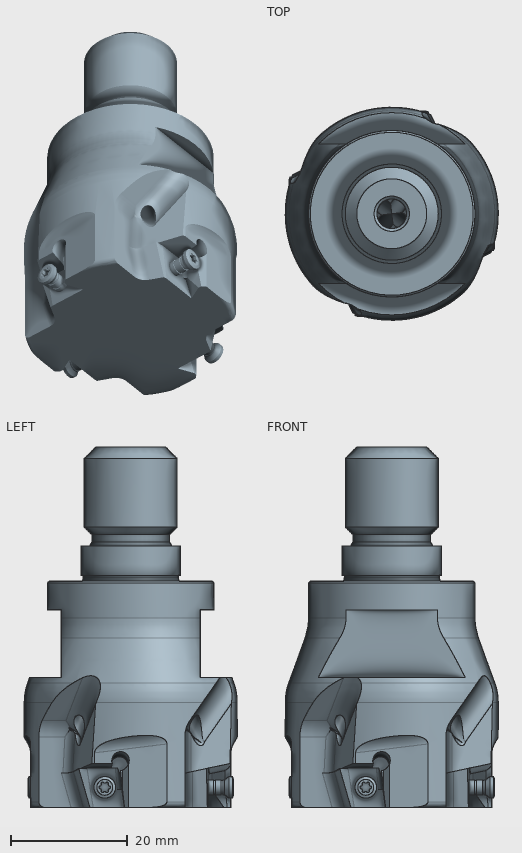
import cadquery as cq
import math


station_count = 4
reach = 37.1

total_height = 61.8
thread_radius = 8.0
thread_bottom = 48.1
tip_chamfer = 2.0
relief_radius = 6.7
relief_bottom = 45.5
relief_flare = 0.4
guide_radius = 8.5
guide_bottom = 39.8
guide_top = 44.85
undercut_radius = 8.15
undercut_flare = 0.1
undercut_flare_start = 39.4

collar_radius = 14.3
collar_top = 38.8
collar_chamfer = 0.3
collar_bottom = 32.5
cone_top = 29.05
cone_top_radius = 14.9
cone_bottom = 21.4
cone_bottom_radius = 17.7
belly_top = 18.05
belly_diameter = 36.5
belly_radius = belly_diameter / 2
end_fillet = 0.9

flat_offset = 11.9
flat_top = 33.85
flat_bottom = 22.3

bore_radius = 2.55
bore_chamfer = 0.5
bore_bottom = 32.75
branch_radius = 1.3
branch_start = cq.Vector(0, 0, 35.2)
branch_exit = cq.Vector(-9.4, -11.85, 12.5)
branch_run_out = 4.95

gullet_offset = 9.3
gullet_fillet = 1.85
ramp_start_height = 13.65
ramp_angle = 35.0
ramp_bend_radius = 4.95
ramp_groove_radius = 3.1
ramp_groove_shift = 1.5
wall_root = -10.75
wall_angle = 25.5
wall_lean = 3.0
lower_wall_root = -8.7
lower_wall_angle = 24.0
lower_wall_lean = -15.5
lower_fillet = 2.2

seat_offset = 13.2
seat_right = -1.25
seat_wall_angle = 3.0
seat_wall_lean = -6.0
seat_fillet = 0.75
seat_bevel_offset = 16.2
seat_bevel_right = -1.4
seat_bevel_angle = 46.0
seat_ceiling = 6.75
seat_ceiling_angle = 12.0
toe_height = 3.1
toe_reach = 3.0
toe_width = 1.55
corner_relief_rise = 0.5
corner_relief_radius = 1.5
facet_root = -6.4
facet_angle = 10.0
facet_lean = -9.0

land_offset = 17.2
land_top = 10.15
land_tilt = 7.0
land_run_out_radius = 2.5

screw_x = -4.45
screw_z = 3.45
screw_tip = 8.65
screw_radius = 1.3
neck_radius = 1.2
necks = [(14.15, 14.5), (15.5, 15.8)]
head_cone_start = 16.05
head_cone_end = 16.8
head_radius = 1.85
head_rim_end = 17.4
head_end = 17.6
head_top_radius = 1.35
socket_depth = 0.85
socket_core_radius = 0.75
lobe_radius = 0.25
lobe_count = 6


def tan(degrees):
    return math.tan(math.radians(degrees))


def square_to(vector, axis):
    """Unit vector along the part of `vector` that is square to `axis`."""
    unit = axis.normalized()
    return (vector - unit * vector.dot(unit)).normalized()


def corner_wedge(corner, along, leg_a, leg_b):
    """Long prism filling the corner between two planes that share the line `along`."""
    axis = along.normalized()
    first = square_to(leg_a, axis)
    second = square_to(leg_b, axis)
    normal_side = axis.cross(first)
    first_point = (reach, 0)
    second_point = (second.dot(first) * reach, second.dot(normal_side) * reach)
    far_point = (first_point[0] + second_point[0], first_point[1] + second_point[1])
    return (
        cq.Workplane(cq.Plane(corner, first, axis))
        .polyline([(0, 0), first_point, far_point, second_point])
        .close()
        .extrude(reach, both=True)
    )


def corner_prism(corner, along, leg_a, leg_b, radius):
    """Corner wedge with its corner rounded."""
    prism = corner_wedge(corner, along, leg_a, leg_b)
    return prism.edges(cq.selectors.NearestToPointSelector(corner)).fillet(radius)


def around_axis(shape):
    """Copies of a -Y side shape, one per station."""
    return [shape.rotate((0, 0, 0), (0, 0, 1), i * 360 / station_count) for i in range(station_count)]


left = cq.Vector(-1, 0, 0)
down = cq.Vector(0, 0, -1)
up = cq.Vector(0, 0, 1)


def turned_blank():
    return (
        cq.Workplane("XZ")
        .moveTo(0, 0)
        .lineTo(0, total_height)
        .lineTo(thread_radius - tip_chamfer, total_height)
        .lineTo(thread_radius, total_height - tip_chamfer)
        .lineTo(thread_radius, thread_bottom)
        .lineTo(relief_radius, thread_bottom - (thread_radius - relief_radius))
        .lineTo(relief_radius, relief_bottom)
        .lineTo(relief_radius + relief_flare, guide_top)
        .lineTo(guide_radius, guide_top)
        .lineTo(guide_radius, guide_bottom)
        .lineTo(undercut_radius, guide_bottom)
        .lineTo(undercut_radius, undercut_flare_start)
        .lineTo(undercut_radius + undercut_flare, collar_top)
        .lineTo(collar_radius - collar_chamfer, collar_top)
        .lineTo(collar_radius, collar_top - collar_chamfer)
        .lineTo(collar_radius, collar_bottom)
        .tangentArcPoint((cone_top_radius, cone_top), relative=False)
        .lineTo(cone_bottom_radius, cone_bottom)
        .tangentArcPoint((belly_radius, belly_top), relative=False)
        .lineTo(belly_radius, end_fillet)
        .radiusArc((belly_radius - end_fillet, 0), end_fillet)
        .close()
        .revolve(360, (0, 0, 0), (0, 1, 0))
    )


def wrench_flats():
    slab = cq.Workplane("XY").box(2 * reach, reach, flat_top - flat_bottom, centered=(True, False, False))
    slab = slab.translate((0, flat_offset, flat_bottom))
    return slab.union(slab.mirror("XZ"))


def coolant_bore():
    depth = total_height - bore_bottom
    bore = cq.Workplane("XY", origin=(0, 0, bore_bottom)).circle(bore_radius).extrude(depth)
    countersink = cq.Solid.makeCone(
        bore_radius, bore_radius + bore_chamfer, bore_chamfer, cq.Vector(0, 0, total_height - bore_chamfer)
    )
    return bore.union(cq.Workplane(countersink))


def coolant_branch():
    run = branch_exit - branch_start
    length = run.Length + branch_run_out
    return cq.Workplane(cq.Solid.makeCylinder(branch_radius, length, branch_start, run))


def wall_direction(angle):
    """Horizontal direction that leaves the cutter outward, turned by `angle` toward +X."""
    return cq.Vector(tan(angle), -1, 0)


def leaning_axis(lean):
    """Upward direction that leans by `lean` toward +X."""
    return cq.Vector(tan(lean), 0, 1)


def flute():
    """Gullet with a ramp that runs out upward; its wall and ramp meet in a round groove."""
    wall = wall_direction(wall_angle)
    wall_axis = leaning_axis(wall_lean)
    ramp = cq.Vector(0, -math.sin(math.radians(ramp_angle)), math.cos(math.radians(ramp_angle)))
    ramp_x = tan(wall_angle) * -ramp.y + tan(wall_lean) * ramp.z
    ramp_axis = cq.Vector(ramp_x, ramp.y, ramp.z)
    root = cq.Vector(wall_root, -gullet_offset, 0)
    bend = root + wall_axis * ramp_start_height
    gullet = corner_prism(root, wall_axis, left, wall, gullet_fillet)
    ramped_floor = corner_prism(bend, left, down, ramp, ramp_bend_radius)
    ramp_normal = cq.Vector(0, -ramp.z, ramp.y)
    across = square_to(left, ramp_axis)
    wall_rise = square_to(wall, ramp_axis)
    corner_fillet = ramp_groove_shift * math.tan(across.getAngle(wall_rise) / 2)
    ramped_wall = corner_prism(bend, ramp_axis, left, wall, corner_fillet)
    groove_center = bend + across * ramp_groove_shift + ramp_normal * ramp_groove_radius
    groove = cq.Workplane(cq.Solid.makeCylinder(ramp_groove_radius, reach, groove_center, ramp_axis))
    return gullet.intersect(ramped_wall).union(groove).intersect(ramped_floor).cut(seat_space())


def lower_flute():
    """Undercut of the flute wall below the insert."""
    root = cq.Vector(lower_wall_root, -gullet_offset, 0)
    wall = wall_direction(lower_wall_angle)
    undercut = corner_prism(root, leaning_axis(lower_wall_lean), left, wall, lower_fillet)
    return undercut.intersect(seat_space())


def seat_space():
    """Everything outward of and below the seat ceiling, which rises outward."""
    edge = cq.Vector(0, -seat_offset, seat_ceiling)
    ceiling = cq.Vector(0, -1, tan(seat_ceiling_angle))
    plane = cq.Plane(edge, left, left.cross(ceiling))
    return cq.Workplane(plane).rect(2 * reach, 2 * reach).extrude(-reach)


def insert_seat():
    right_root = cq.Vector(seat_right, -seat_offset, 0)
    wall = wall_direction(seat_wall_angle)
    seat = corner_prism(right_root, leaning_axis(seat_wall_lean), left, wall, seat_fillet)
    facet_edge = cq.Vector(facet_root, -seat_offset, 0)
    facet_run = cq.Vector(-1, tan(facet_angle), 0)
    facet_axis = leaning_axis(facet_lean)
    plane = cq.Plane(facet_edge, facet_run, facet_axis)
    facet = cq.Workplane(plane).rect(reach, reach, centered=False).extrude(reach, both=True)
    bevel_root = cq.Vector(seat_bevel_right, -seat_bevel_offset, 0)
    bevel = corner_wedge(bevel_root, up, left, wall_direction(seat_bevel_angle))
    return seat.union(facet).union(bevel).intersect(seat_space())


def seat_toe():
    """Bevel across the bottom corner where the seat floor, its right wall and the end face meet."""
    corner = cq.Vector(seat_right, -seat_offset, 0)
    normal = cq.Vector(1 / toe_width, -1 / toe_reach, 1 / toe_height)
    plane = cq.Plane(corner + cq.Vector(toe_width, 0, 0), cq.Vector(0, -toe_reach, -toe_height), normal)
    below = cq.Workplane(plane).rect(2 * reach, 2 * reach).extrude(-reach)
    bounds = cq.Workplane("XY").box(toe_width * 2, toe_reach, toe_height, centered=(True, False, False))
    return below.intersect(bounds.translate((seat_right, -seat_offset - toe_reach, 0)))


def corner_relief():
    corner_x = seat_right + tan(seat_wall_lean) * seat_ceiling
    start = cq.Vector(corner_x, -seat_offset, seat_ceiling + corner_relief_rise)
    run = cq.Vector(tan(seat_wall_angle), -1, tan(seat_ceiling_angle))
    return cq.Workplane(cq.Solid.makeCylinder(corner_relief_radius, reach, start, run))


def land():
    """Flat behind the insert, with a round run-out along its tilted top edge."""
    profile = (
        cq.Workplane("YZ")
        .moveTo(-land_offset, -reach)
        .lineTo(-land_offset, land_top)
        .radiusArc((-land_offset - land_run_out_radius, land_top + land_run_out_radius), -land_run_out_radius)
        .lineTo(-reach, land_top + land_run_out_radius)
        .lineTo(-reach, -reach)
        .close()
        .extrude(reach, both=True)
    )
    return profile.rotate((0, 0, land_top), (0, 1, land_top), -land_tilt)


def screw_hole():
    plane = cq.Plane((screw_x, -screw_tip, screw_z), (1, 0, 0), (0, -1, 0))
    return cq.Workplane(plane).circle(screw_radius).extrude(reach)


def clamping_screw():
    """Countersunk screw with a six-lobe socket; its axis runs along Y."""
    profile = cq.Workplane("XY").moveTo(0, -screw_tip).lineTo(screw_radius, -screw_tip)
    for start, end in necks:
        profile = (
            profile.lineTo(screw_radius, -start)
            .lineTo(neck_radius, -start)
            .lineTo(neck_radius, -end)
            .lineTo(screw_radius, -end)
        )
    turned = (
        profile.lineTo(screw_radius, -head_cone_start)
        .lineTo(head_radius, -head_cone_end)
        .lineTo(head_radius, -head_rim_end)
        .lineTo(head_top_radius, -head_end)
        .lineTo(0, -head_end)
        .close()
        .revolve(360, (0, 0, 0), (0, 1, 0))
    )
    top = cq.Workplane(cq.Plane((0, -head_end, 0), (1, 0, 0), (0, -1, 0)))
    core = top.circle(socket_core_radius).extrude(-socket_depth)
    lobes = top.polarArray(socket_core_radius, 0, 360, lobe_count).circle(lobe_radius).extrude(-socket_depth)
    return turned.cut(core).cut(lobes).translate((screw_x, 0, screw_z))


def cutter_head():
    head = turned_blank().cut(wrench_flats()).cut(coolant_bore())
    seat_tools = [insert_seat(), seat_toe(), corner_relief(), screw_hole()]
    for tool in [land(), flute(), lower_flute(), coolant_branch(), *seat_tools]:
        for copy in around_axis(tool):
            head = head.cut(copy)
    return head


head = cutter_head()
screws = around_axis(clamping_screw())

result = cq.Compound.makeCompound([head.val(), *[screw.val() for screw in screws]])